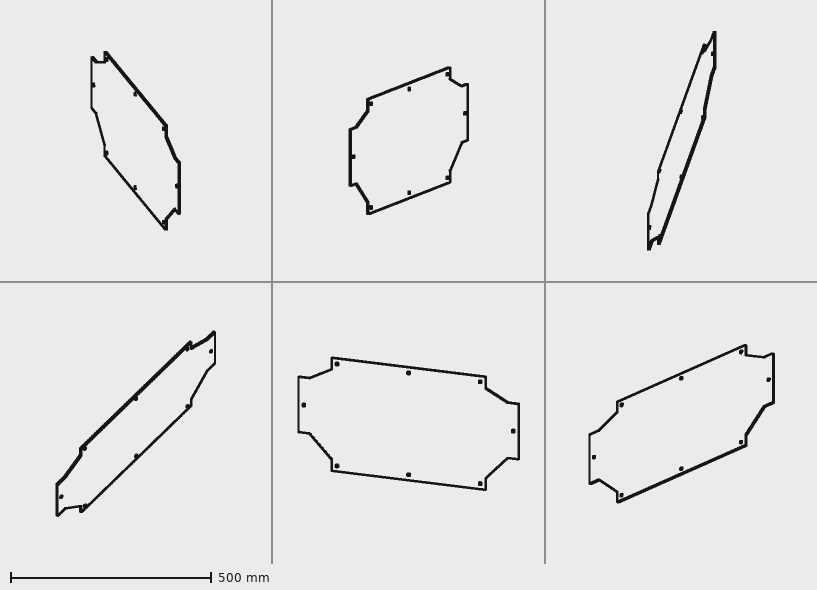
import cadquery as cq

opening_length = 600.0
opening_height = 295.0
clearance = 0.5
thickness = 4.0

margin = 30.0
slope_run = 60.0
upper_slope_rise = 30.0
lower_slope_rise = 60.0

corner_radius = 2.0
hole_diameter = 6.6
hole_inset = 15.0

end_x = opening_length / 2
slope_start_x = end_x - margin
middle_x = slope_start_x - slope_run
top_z = opening_height / 2
upper_shoulder_z = top_z - margin
lower_shoulder_z = -top_z + margin
tab_top_z = upper_shoulder_z - upper_slope_rise
tab_bottom_z = lower_shoulder_z + lower_slope_rise


def extrude_plate_thickness(sketch):
    """Extrude a sketch on the XZ plane symmetrically about Y = 0."""
    return sketch.extrude(thickness / 2, both=True)


def make_blank():
    """Sharp-cornered plate: the opening outline drawn in by the clearance."""
    right_side = [
        (middle_x, top_z),
        (middle_x, upper_shoulder_z),
        (slope_start_x, tab_top_z),
        (end_x, tab_top_z),
        (end_x, tab_bottom_z),
        (slope_start_x, tab_bottom_z),
        (middle_x, lower_shoulder_z),
        (middle_x, -top_z),
    ]
    left_side = [(-x, z) for x, z in reversed(right_side)]
    opening = cq.Workplane("XZ").polyline(right_side + left_side).close()
    return extrude_plate_thickness(opening.offset2D(-clearance, "intersection"))


def round_outer_corners(blank):
    """Round the four corners of the middle section and the two of each tab."""
    rounded = blank
    for side in (-1, 1):
        for x, z in (
            (middle_x, top_z),
            (middle_x, -top_z),
            (end_x, tab_top_z),
            (end_x, tab_bottom_z),
        ):
            corner = cq.selectors.NearestToPointSelector((side * x, 0, z))
            rounded = rounded.edges(corner).fillet(corner_radius)
    return rounded


def make_hole_cutters():
    """Three holes along the top, three along the bottom and one in each end tab."""
    row_x = middle_x - hole_inset
    row_z = top_z - hole_inset
    tab_x = end_x - hole_inset
    tab_centre_z = (tab_top_z + tab_bottom_z) / 2
    centres = [(x, z) for x in (-row_x, 0, row_x) for z in (-row_z, row_z)]
    centres += [(-tab_x, tab_centre_z), (tab_x, tab_centre_z)]
    circles = cq.Workplane("XZ").pushPoints(centres).circle(hole_diameter / 2)
    return extrude_plate_thickness(circles)


result = round_outer_corners(make_blank()).cut(make_hole_cutters())